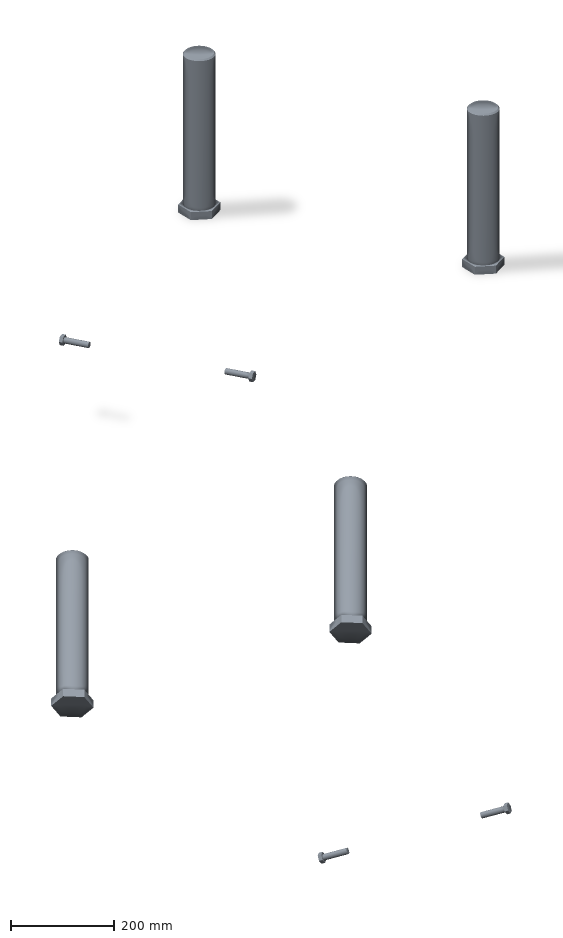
import cadquery as cq
import math

overall_width = 668.0
overall_depth = 960.0
overall_height = 345.0

bolt_flats = 71.0
bolt_head_height = 17.0
bolt_shank_diameter = 63.0
bolt_tip_chamfer = 3.0

screw_flats = 19.0
screw_head_height = 8.0
screw_shank_diameter = 12.0
screw_length = 59.5
screw_span = 406.0
screw_axis_height = 164.0


def corner_diameter(flats):
    """Distance across the corners of a regular hexagon."""
    return flats / math.cos(math.pi / 6)


bolt_x = (overall_width - bolt_flats) / 2
bolt_y = (overall_depth - corner_diameter(bolt_flats)) / 2
screw_y = -(overall_depth - corner_diameter(screw_flats)) / 2


def make_hex_bolt(plane, flats, head_height, shank_diameter, length, tip_chamfer=0):
    """Bolt whose head starts on the plane, with two hexagon corners on its local X axis."""
    head = cq.Workplane(plane).polygon(6, corner_diameter(flats)).extrude(head_height)
    shank = cq.Workplane(plane).circle(shank_diameter / 2).extrude(length)
    if tip_chamfer:
        tip = cq.NearestToPointSelector((plane.origin + plane.zDir * length).toTuple())
        shank = shank.faces(tip).chamfer(tip_chamfer)
    return head.union(shank)


def make_bolt(side):
    """Upright bolt with its head at the bottom and hexagon corners along Y."""
    plane = cq.Plane(origin=(side * bolt_x, bolt_y, 0), xDir=(0, 1, 0), normal=(0, 0, 1))
    return make_hex_bolt(
        plane, bolt_flats, bolt_head_height, bolt_shank_diameter, overall_height, bolt_tip_chamfer
    )


def make_screw(side):
    """Horizontal bolt pointing towards the middle, with hexagon corners along Y."""
    plane = cq.Plane(
        origin=(side * screw_span / 2, screw_y, screw_axis_height),
        xDir=(0, 1, 0),
        normal=(-side, 0, 0),
    )
    return make_hex_bolt(plane, screw_flats, screw_head_height, screw_shank_diameter, screw_length)


sides = (-1, 1)
bolts = [make_bolt(side).val() for side in sides]
screws = [make_screw(side).val() for side in sides]

result = cq.Compound.makeCompound([*bolts, *screws])